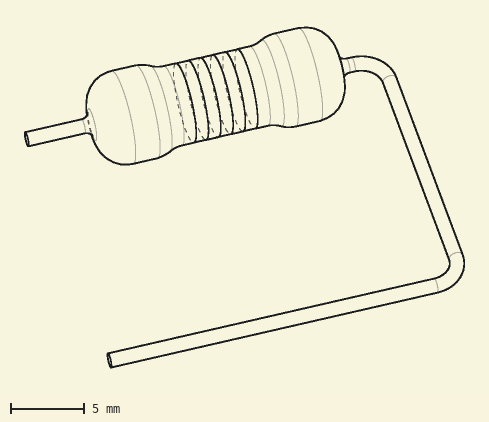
import cadquery as cq
import math

wire_diameter = 1.0
lead_pitch = 20.0
overall_length = 25.6
bend_radius = 2.0

body_center = 13.36
cap_diameter = 6.5
cap_half_length = 8.75
cap_inner_offset = 4.9
band_diameter = 5.55
groove_diameter = 5.53
band_width = 0.87
band_count = 7
lead_fillet = 0.61

wire_radius = wire_diameter / 2
cap_radius = cap_diameter / 2
bridge_y = overall_length - wire_radius


def band_radius(index):
    """Radius of one center section; bands and shallow grooves alternate."""
    return (band_diameter if index % 2 == 0 else groove_diameter) / 2


def add_flare(profile, start, end):
    """Join two parallel straight sides with a tangent S-curve of equal arcs."""
    step_x = end[0] - start[0]
    step_y = end[1] - start[1]
    middle = ((start[0] + end[0]) / 2, (start[1] + end[1]) / 2)
    arc_radius = (step_x**2 + step_y**2) / (4 * abs(step_x))
    half_angle = math.asin(abs(step_y) / (2 * arc_radius)) / 2
    side_shift = math.copysign(arc_radius * (1 - math.cos(half_angle)), step_x)
    axial_shift = arc_radius * math.sin(half_angle)
    first_arc_point = (start[0] + side_shift, start[1] + axial_shift)
    second_arc_point = (end[0] - side_shift, end[1] - axial_shift)
    profile = profile.threePointArc(first_arc_point, middle)
    return profile.threePointArc(second_arc_point, end)


def make_body():
    """Revolve the capped body, including the concave fillets onto the leads."""
    bottom = body_center - cap_half_length
    top = body_center + cap_half_length
    fillet_edge = wire_radius + lead_fillet
    cap_corner_radius = cap_radius - fillet_edge
    corner_reach = cap_corner_radius * math.sqrt(0.5)
    fillet_inset = lead_fillet * (1 - math.sqrt(0.5))
    bands_start = body_center - band_count * band_width / 2
    bands_end = body_center + band_count * band_width / 2
    end_radius = band_radius(0)

    profile = (
        cq.Workplane("XY")
        .moveTo(0, bottom - lead_fillet)
        .lineTo(wire_radius, bottom - lead_fillet)
        .threePointArc((wire_radius + fillet_inset, bottom - fillet_inset), (fillet_edge, bottom))
    )
    profile = profile.threePointArc(
        (fillet_edge + corner_reach, bottom + cap_corner_radius - corner_reach),
        (cap_radius, bottom + cap_corner_radius),
    ).lineTo(cap_radius, body_center - cap_inner_offset)
    profile = add_flare(profile, (cap_radius, body_center - cap_inner_offset), (end_radius, bands_start))

    for index in range(band_count):
        radius = band_radius(index)
        if index > 0:
            profile = profile.lineTo(radius, bands_start + index * band_width)
        profile = profile.lineTo(radius, bands_start + (index + 1) * band_width)

    profile = add_flare(profile, (end_radius, bands_end), (cap_radius, body_center + cap_inner_offset))
    profile = (
        profile.lineTo(cap_radius, top - cap_corner_radius)
        .threePointArc(
            (fillet_edge + corner_reach, top - cap_corner_radius + corner_reach),
            (fillet_edge, top),
        )
        .threePointArc(
            (wire_radius + fillet_inset, top + fillet_inset),
            (wire_radius, top + lead_fillet),
        )
        .lineTo(0, top + lead_fillet)
        .close()
    )
    return profile.revolve(360, (0, 0), (0, 1))


def make_wire():
    """Sweep one wire through the body, across the bridge and down the far leg."""
    bend_y = bridge_y - bend_radius
    arc_inset = bend_radius * (1 - math.sqrt(0.5))
    path = (
        cq.Workplane("XY")
        .lineTo(0, bend_y)
        .threePointArc((arc_inset, bridge_y - arc_inset), (bend_radius, bridge_y))
        .lineTo(lead_pitch - bend_radius, bridge_y)
        .threePointArc((lead_pitch - arc_inset, bridge_y - arc_inset), (lead_pitch, bend_y))
        .lineTo(lead_pitch, 0)
    )
    return cq.Workplane("XZ").circle(wire_radius).sweep(path)


result = make_body().union(make_wire())